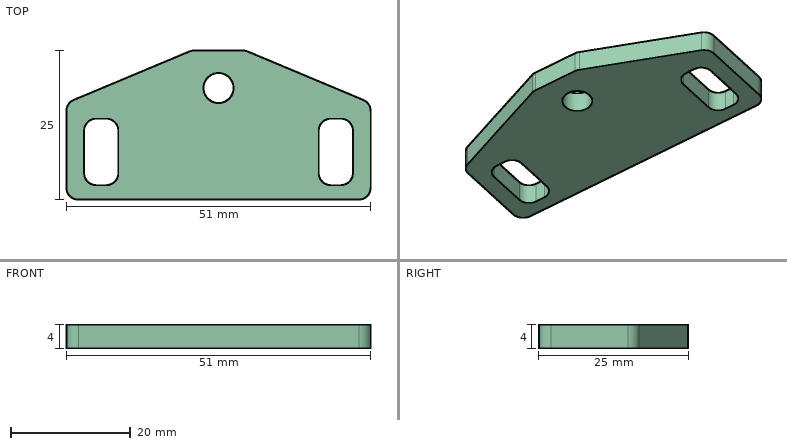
import cadquery as cq

length = 51.0
depth = 25.0
thickness = 4.0
shoulder_height = 16.2
back_flat_length = 9.0
corner_radius = 2.0
back_corner_radius = 2.0

hole_diameter = 5.0
hole_from_front = 18.7

slot_width = 5.7
slot_length = 11.1
slot_corner_radius = 2.0
slot_spacing = 39.3
slot_from_front = 8.0

front_y = -depth / 2
back_y = depth / 2


def make_plate():
    """Tapered plate with rounded vertical edges, centred on the origin."""
    half_length = length / 2
    half_flat = back_flat_length / 2
    shoulder_y = front_y + shoulder_height
    plate = (
        cq.Workplane("XY")
        .workplane(offset=-thickness / 2)
        .moveTo(-half_length, front_y)
        .lineTo(half_length, front_y)
        .lineTo(half_length, shoulder_y)
        .lineTo(half_flat, back_y)
        .lineTo(-half_flat, back_y)
        .lineTo(-half_length, shoulder_y)
        .close()
        .extrude(thickness)
    )
    plate = plate.edges("|Z and (<X or >X)").fillet(corner_radius)
    return plate.faces(">Y").edges("|Z").fillet(back_corner_radius)


def make_hole():
    """Cutter for the round through hole."""
    return (
        cq.Workplane("XY")
        .center(0, front_y + hole_from_front)
        .circle(hole_diameter / 2)
        .extrude(thickness, both=True)
    )


def make_slot(centre_x):
    """Cutter for one rounded rectangular through slot."""
    return (
        cq.Workplane("XY")
        .center(centre_x, front_y + slot_from_front)
        .rect(slot_width, slot_length)
        .extrude(thickness, both=True)
        .edges("|Z")
        .fillet(slot_corner_radius)
    )


result = make_plate().cut(make_hole())
for side in (-1, 1):
    result = result.cut(make_slot(side * slot_spacing / 2))